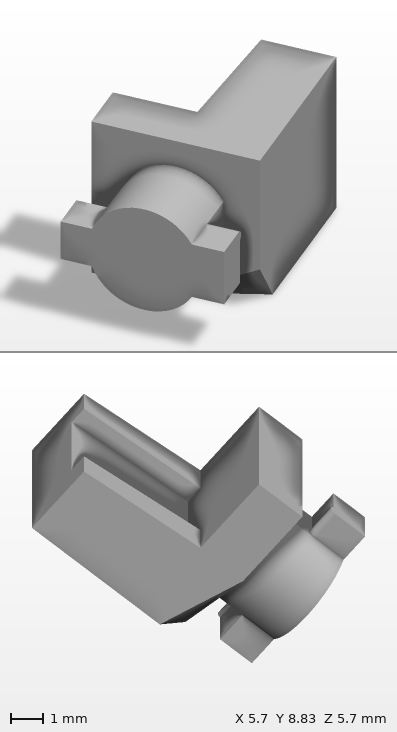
import cadquery as cq
import math

plate_side = 5.7
half_side = plate_side / 2
plate_thickness = 1.76

total_length = 8.83
stud_length = 2.59
arm_end_y = total_length - stud_length
arm_root_x = 0.01
arm_tip_x = 0.31

channel_depth = 0.61
channel_root_half_height = 1.54
channel_tip_half_height = 1.75

cut_width = 2.81
cut_height = 1.6
cut_depth = 1.04

stud_radius = 1.9
left_tab_half_height = 0.71
right_tab_half_height = 0.99
left_tab_reach = 2.82
right_tab_reach = 2.71
tab_thickness = 1.29

ridge_radius = 0.2
ridge_distance = 1.18


def make_arm():
    """Arm with a sloping inner side and a channel following that slope."""
    arm = (
        cq.Workplane("XY", origin=(0, 0, -half_side))
        .polyline([
            (arm_root_x, plate_thickness),
            (half_side, plate_thickness),
            (half_side, arm_end_y),
            (arm_tip_x, arm_end_y),
        ])
        .close()
        .extrude(plate_side)
    )
    channel_plan = (
        cq.Workplane("XY", origin=(0, 0, -half_side))
        .polyline([
            (-half_side, plate_thickness),
            (arm_root_x + channel_depth, plate_thickness),
            (arm_tip_x + channel_depth, arm_end_y),
            (-half_side, arm_end_y),
        ])
        .close()
        .extrude(plate_side)
    )
    channel_profile = (
        cq.Workplane("YZ", origin=(-half_side, 0, 0))
        .polyline([
            (plate_thickness, -channel_root_half_height),
            (arm_end_y, -channel_tip_half_height),
            (arm_end_y, channel_tip_half_height),
            (plate_thickness, channel_root_half_height),
        ])
        .close()
        .extrude(plate_side)
    )
    return arm.cut(channel_plan.intersect(channel_profile))


def make_plate():
    """Square plate with one front corner sliced off by a slanted plane."""
    plate = cq.Workplane("XY").box(plate_side, plate_thickness, plate_side)
    plate = plate.translate((0, plate_thickness / 2, 0))
    corner = cq.Vector(half_side, 0, -half_side)
    along_bottom = corner - cq.Vector(cut_width, 0, 0)
    up_side = corner + cq.Vector(0, 0, cut_height)
    along_depth = corner + cq.Vector(0, cut_depth, 0)
    triangles = [
        (corner, along_bottom, up_side),
        (corner, along_bottom, along_depth),
        (corner, up_side, along_depth),
        (along_bottom, up_side, along_depth),
    ]
    outlines = [cq.Wire.makePolygon(points, close=True) for points in triangles]
    faces = [cq.Face.makeFromWires(outline) for outline in outlines]
    return plate.cut(cq.Workplane(cq.Solid.makeSolid(cq.Shell.makeShell(faces))))


def flat_distance(tab_half_height):
    """Distance from the axis to a stud flat as high as its tab."""
    return math.sqrt(stud_radius**2 - tab_half_height**2)


def make_stud():
    """Round stud with a flat on each side, exactly as high as the tab there."""
    left_flat = flat_distance(left_tab_half_height)
    right_flat = flat_distance(right_tab_half_height)
    stud = cq.Workplane("XZ").circle(stud_radius).extrude(stud_length)
    keep = cq.Workplane("XY").box(left_flat + right_flat, 2 * stud_length, plate_side)
    return stud.intersect(keep.translate(((right_flat - left_flat) / 2, 0, 0)))


def make_tab(reach, half_height, side):
    """Tab towards side * X with a ridge tangent to its lower (left) or upper (right) face."""
    tab = cq.Workplane("XY").box(reach, tab_thickness, 2 * half_height)
    tab = tab.translate((side * reach / 2, tab_thickness / 2 - stud_length, 0))
    ridge = (
        cq.Workplane("YZ")
        .center(ridge_distance - stud_length, side * (half_height - ridge_radius))
        .circle(ridge_radius)
        .extrude(side * reach)
    )
    corner_trim = (
        cq.Workplane("XY")
        .box(reach, tab_thickness - ridge_distance, ridge_radius)
        .translate((
            side * reach / 2,
            (tab_thickness + ridge_distance) / 2 - stud_length,
            side * (half_height - ridge_radius / 2),
        ))
    )
    return tab.cut(corner_trim).union(ridge)


result = (
    make_plate()
    .union(make_arm())
    .union(make_stud())
    .union(make_tab(left_tab_reach, left_tab_half_height, -1))
    .union(make_tab(right_tab_reach, right_tab_half_height, 1))
)